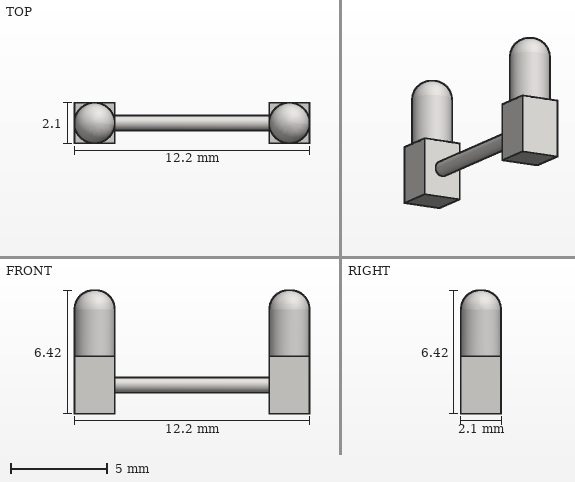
import cadquery as cq

overall_length = 12.19
overall_height = 6.42
block_width = 2.1
block_height = 3.0
pin_diameter = block_width
tip_radius = 1.0
rod_diameter = 0.8

post_spacing = overall_length - block_width
pin_height = overall_height - block_height
rod_height = block_height / 2


def make_post(x_center):
    """Square block carrying a round pin with a domed tip."""
    block = (
        cq.Workplane("XY")
        .center(x_center, 0)
        .rect(block_width, block_width)
        .extrude(block_height)
    )
    pin = (
        cq.Workplane("XY", origin=(x_center, 0, block_height))
        .circle(pin_diameter / 2)
        .extrude(pin_height)
        .faces(">Z")
        .edges()
        .fillet(tip_radius)
    )
    return block.union(pin)


def make_rod():
    """Round rod along X, running between the block centers."""
    return (
        cq.Workplane("YZ", origin=(-post_spacing / 2, 0, rod_height))
        .circle(rod_diameter / 2)
        .extrude(post_spacing)
    )


result = make_rod()
for side in (-1, 1):
    result = result.union(make_post(side * post_spacing / 2))